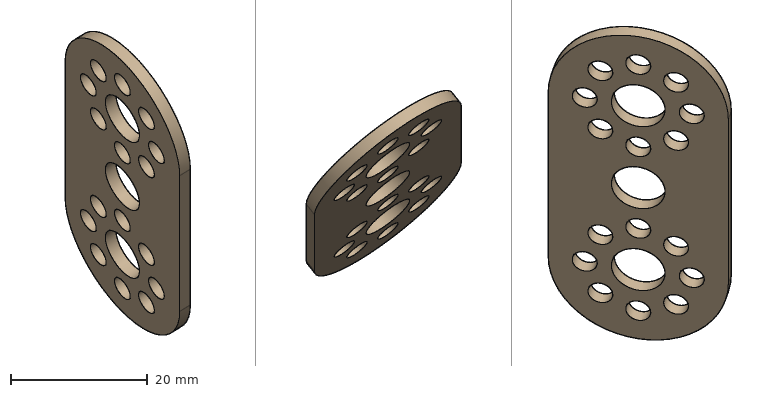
import cadquery as cq

length = 59.0
width = 27.0
thickness = 2.0
large_hole_diameter = 8.0
small_hole_diameter = 3.7
bolt_circle_radius = 8.0
holes_per_circle = 8

end_center_z = (length - width) / 2
end_centers = [(0, end_center_z), (0, -end_center_z)]


def make_plate():
    """Flat plate with full-radius ends, standing in the XZ plane and centred on Y."""
    return cq.Workplane("XZ").slot2D(length, width, 90).extrude(thickness / 2, both=True)


def cut_large_holes(plate):
    """One large hole at the plate centre and one at each end centre."""
    return plate.faces("<Y").workplane(origin=(0, 0, 0)).pushPoints(
        [(0, 0)] + end_centers
    ).hole(large_hole_diameter)


def cut_bolt_circle(plate, center):
    """Ring of small through holes around one end centre."""
    return (
        plate.faces("<Y").workplane(origin=(0, 0, 0))
        .center(*center)
        .polarArray(bolt_circle_radius, 0, 360, holes_per_circle)
        .hole(small_hole_diameter)
    )


result = cut_large_holes(make_plate())
for end_center in end_centers:
    result = cut_bolt_circle(result, end_center)